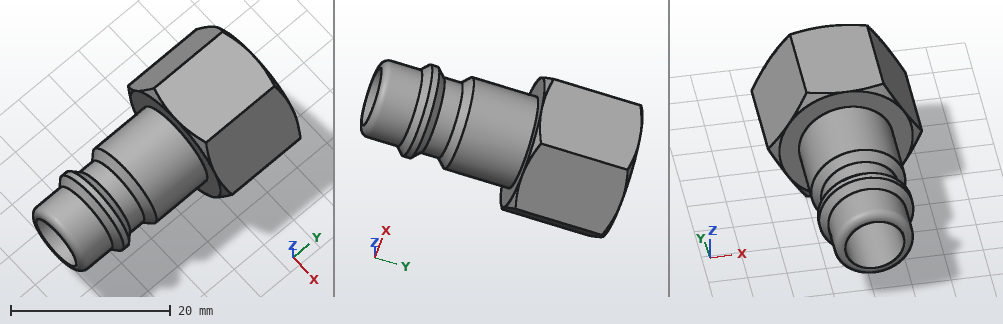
import cadquery as cq
import math

length = 33.0
across_flats = 17.0
hex_start = 20.0
hex_chamfer_angle = 30.0

body_radius = 6.0
tip_radius = 5.0
groove_radius = 4.95
bore_radius = 3.75

tip_round = 1.0
collar_start = 4.98
collar_full = 5.97
collar_end = 6.9
groove_start = 8.0
groove_end = 10.35
body_start = 11.5


def revolve_about_y(profile):
    return profile.close().revolve(360, (0, 0, 0), (0, 1, 0))


def make_hex():
    """Hex with two flats facing +Z and -Z and its corners turned off at both ends."""
    corner_radius = across_flats / math.sqrt(3)
    flat_radius = across_flats / 2
    chamfer = (corner_radius - flat_radius) * math.tan(math.radians(hex_chamfer_angle))
    prism = (
        cq.Workplane("XZ", origin=(0, hex_start, 0))
        .polygon(6, 2 * corner_radius)
        .extrude(hex_start - length)
    )
    envelope = revolve_about_y(
        cq.Workplane("XY")
        .moveTo(0, hex_start)
        .lineTo(flat_radius, hex_start)
        .lineTo(corner_radius, hex_start + chamfer)
        .lineTo(corner_radius, length - chamfer)
        .lineTo(flat_radius, length)
        .lineTo(0, length)
    )
    return prism.intersect(envelope)


def make_plug():
    """Turned plug with a rounded tip, a locking collar and a groove."""
    return revolve_about_y(
        cq.Workplane("XY")
        .lineTo(tip_radius - tip_round, 0)
        .radiusArc((tip_radius, tip_round), -tip_round)
        .lineTo(tip_radius, collar_start)
        .lineTo(body_radius, collar_full)
        .lineTo(body_radius, collar_end)
        .lineTo(groove_radius, groove_start)
        .lineTo(groove_radius, groove_end)
        .lineTo(body_radius, body_start)
        .lineTo(body_radius, hex_start)
        .lineTo(0, hex_start)
    )


bore = cq.Workplane("XZ").circle(bore_radius).extrude(-length)

result = make_hex().union(make_plug()).cut(bore)